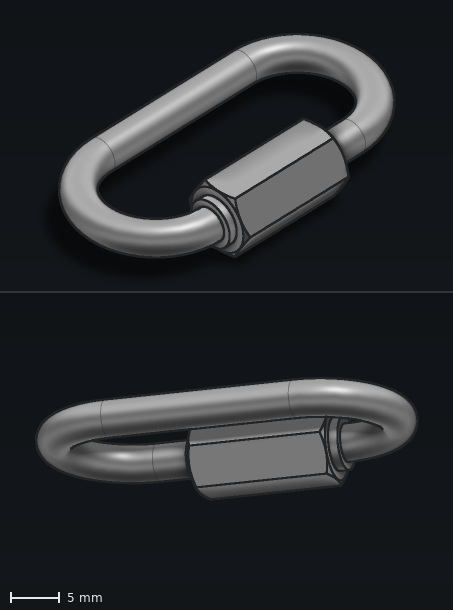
import cadquery as cq
import math


overall_length = 40.5
wire_diameter = 4.0
loop_width = 20.0
wire_radius = wire_diameter / 2
bend_radius = (loop_width - wire_diameter) / 2
bend_center_y = (overall_length - loop_width) / 2

nut_across_flats = 7.7
nut_length = 15.0
nut_face_radius = 3.8
nut_chamfer_angle = 30.0
nut_corner_radius = nut_across_flats / math.sqrt(3)
nut_chamfer_height = (nut_corner_radius - nut_face_radius) * math.tan(math.radians(nut_chamfer_angle))

collar_radius = 2.85
collar_length = 1.0
core_radius = 2.35
flare_length = 0.85

nut_axis_x = bend_radius
nut_bottom_y = -bend_center_y + collar_length
nut_top_y = nut_bottom_y + nut_length


def revolve_about_nut_axis(profile):
    """Revolve (radius, y) points about the axis of the nut."""
    points = [(nut_axis_x + radius, y) for radius, y in profile]
    axis_start = (nut_axis_x, 0)
    axis_end = (nut_axis_x, 1)
    return cq.Workplane("XY").polyline(points).close().revolve(360, axis_start, axis_end)


def make_bend(end):
    """Half torus at the +Y (end = 1) or -Y (end = -1) end of the loop."""
    start_y = end * bend_center_y
    path = (
        cq.Workplane("XY")
        .moveTo(-bend_radius, start_y)
        .threePointArc((0, start_y + end * bend_radius), (bend_radius, start_y))
    )
    section = cq.Workplane("XZ", origin=(-bend_radius, start_y, 0)).circle(wire_radius)
    return section.sweep(path)


def make_plain_side():
    """Straight wire on the side without the nut."""
    section = cq.Workplane("XZ", origin=(-bend_radius, bend_center_y, 0)).circle(wire_radius)
    return section.extrude(2 * bend_center_y)


def make_nut_side():
    """Straight side with the collar, the core inside the nut and the flare."""
    return revolve_about_nut_axis([
        (0, -bend_center_y),
        (collar_radius, -bend_center_y),
        (collar_radius, nut_bottom_y),
        (core_radius, nut_bottom_y),
        (core_radius, nut_top_y),
        (wire_radius, nut_top_y + flare_length),
        (wire_radius, bend_center_y),
        (0, bend_center_y),
    ])


def make_link():
    link = make_plain_side().union(make_nut_side())
    for end in (-1, 1):
        link = link.union(make_bend(end))
    return link


def make_nut():
    """Hexagonal nut with corners chamfered at both ends, bored for the core."""
    hexagon = (
        cq.Workplane("XZ", origin=(nut_axis_x, nut_top_y, 0))
        .polygon(6, 2 * nut_corner_radius)
        .extrude(nut_length)
    )
    chamfer_envelope = revolve_about_nut_axis([
        (0, nut_bottom_y),
        (nut_face_radius, nut_bottom_y),
        (nut_corner_radius, nut_bottom_y + nut_chamfer_height),
        (nut_corner_radius, nut_top_y - nut_chamfer_height),
        (nut_face_radius, nut_top_y),
        (0, nut_top_y),
    ])
    bore = (
        cq.Workplane("XZ", origin=(nut_axis_x, nut_top_y, 0))
        .circle(core_radius)
        .extrude(nut_length)
    )
    return hexagon.intersect(chamfer_envelope).cut(bore)


link = make_link().solids()
nut = make_nut().solids()
result = cq.Compound.makeCompound([link.val(), nut.val()])